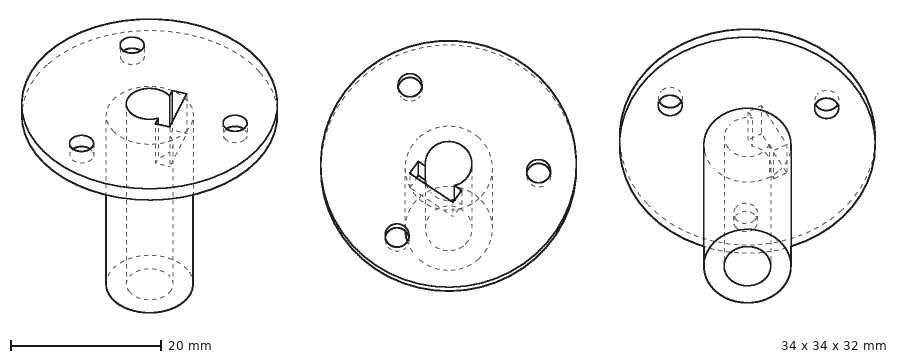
import cadquery as cq

flange_diameter = 34.0
flange_thickness = 2.0

total_height = 32.0
stem_diameter = 11.6
bore_diameter = 6.2

mount_hole_count = 3
mount_hole_diameter = 3.2
mount_circle_diameter = 24.0

pocket_inner_x = 2.0
pocket_outer_x = 4.0
pocket_width = 7.0
pocket_depth = 7.0


def make_body():
    """Flange and stem, with the base of the stem at Z = 0."""
    stem = cq.Workplane("XY").circle(stem_diameter / 2).extrude(total_height)
    flange = (
        cq.Workplane("XY", origin=(0, 0, total_height - flange_thickness))
        .circle(flange_diameter / 2)
        .extrude(flange_thickness)
    )
    return stem.union(flange)


def cut_bore(body):
    """Through bore along the stem axis."""
    bore = cq.Workplane("XY").circle(bore_diameter / 2).extrude(total_height)
    return body.cut(bore)


def cut_mount_holes(body):
    """Ring of through holes in the flange."""
    holes = (
        cq.Workplane("XY", origin=(0, 0, total_height - flange_thickness))
        .polarArray(mount_circle_diameter / 2, 0, 360, mount_hole_count)
        .circle(mount_hole_diameter / 2)
        .extrude(flange_thickness)
    )
    return body.cut(holes)


def cut_nut_pocket(body):
    """Blind rectangular slot for a captive nut, open at the top face."""
    pocket = cq.Workplane("XY").box(
        pocket_outer_x - pocket_inner_x, pocket_width, pocket_depth, centered=(False, True, False)
    )
    return body.cut(pocket.translate((pocket_inner_x, 0, total_height - pocket_depth)))


result = cut_nut_pocket(cut_mount_holes(cut_bore(make_body())))